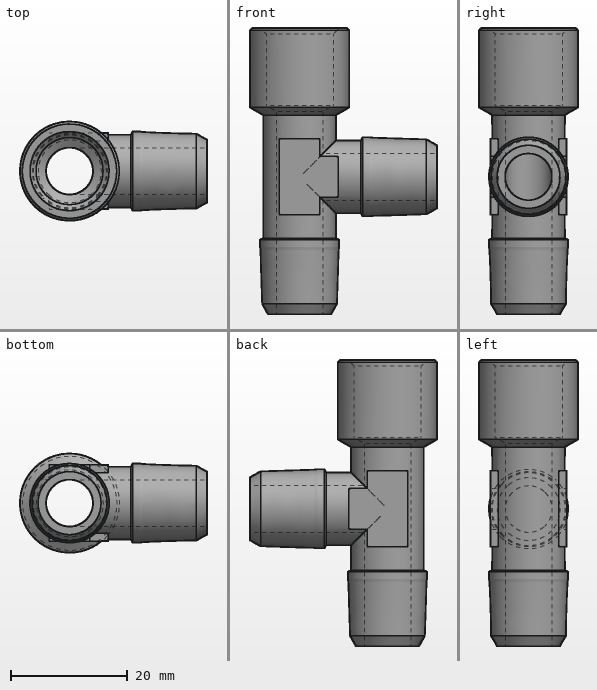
import cadquery as cq
import math

total_height = 49.0
branch_height = 23.5
branch_length = 23.5

head_radius = 17.0 / 2
head_bottom = 35.4
head_edge_chamfer = 0.45
head_cone_angle = math.radians(30)

pipe_radius = 12.5 / 2
bore_radius = 8.0 / 2
socket_radius = 11.45 / 2
socket_mouth_radius = 13.5 / 2
socket_depth = 13.25
socket_floor_angle = math.radians(30)

collar_radius = 13.55 / 2
collar_start = 11.5
collar_end = 12.75
collar_bevel_length = 0.3
taper_start = 1.8
taper_end = 11.02
taper_start_radius = 6.4
taper_end_radius = 6.7
nose_radius = 5.4

pad_half_width = 3.5
pad_half_height = 6.5
pad_reach = 6.6
pad_half_span = 6.5
pad_corner_radius = 0.25


def spigot(length):
    """Pipe along +Z with its tapered nose at the origin."""
    profile = [
        (0, 0),
        (nose_radius, 0),
        (taper_start_radius, taper_start),
        (taper_end_radius, taper_end),
        (collar_radius, collar_start),
        (collar_radius, collar_end),
        (pipe_radius, collar_end + collar_bevel_length),
        (pipe_radius, length),
        (0, length),
    ]
    return cq.Workplane("XZ").polyline(profile).close().revolve(360, (0, 0), (0, 1))


def socket_head():
    cone_height = (head_radius - pipe_radius) * math.tan(head_cone_angle)
    profile = [
        (0, head_bottom - cone_height),
        (pipe_radius, head_bottom - cone_height),
        (head_radius, head_bottom),
        (head_radius, total_height - head_edge_chamfer),
        (head_radius - head_edge_chamfer, total_height),
        (0, total_height),
    ]
    return cq.Workplane("XZ").polyline(profile).close().revolve(360, (0, 0), (0, 1))


def side_pads():
    """T-shaped block through the body; its two faces stand proud as pads."""
    thickness = 2 * pad_half_span
    upright = cq.Workplane().box(2 * pad_half_width, thickness, 2 * pad_half_height)
    tab_length = pad_half_width + pad_reach
    tab_center = (pad_reach - pad_half_width) / 2
    tab = cq.Workplane().center(tab_center, 0).box(tab_length, thickness, 2 * pad_half_width)
    upright = upright.edges("|Y").fillet(pad_corner_radius)
    tab = tab.edges("|Y and >X").fillet(pad_corner_radius)
    return upright.union(tab).translate((0, 0, branch_height))


def run_bore():
    """Through bore opening into the socket, with a conical floor and a flared mouth."""
    socket_floor = total_height - socket_depth
    floor_drop = (socket_radius - bore_radius) * math.tan(socket_floor_angle)
    mouth_depth = socket_mouth_radius - socket_radius
    profile = [
        (0, 0),
        (bore_radius, 0),
        (bore_radius, socket_floor - floor_drop),
        (socket_radius, socket_floor),
        (socket_radius, total_height - mouth_depth),
        (socket_mouth_radius, total_height),
        (0, total_height),
    ]
    return cq.Workplane("XZ").polyline(profile).close().revolve(360, (0, 0), (0, 1))


def branch_bore():
    return cq.Workplane("YZ").center(0, branch_height).circle(bore_radius).extrude(branch_length)


run = spigot(head_bottom)
branch = (
    spigot(branch_length)
    .rotate((0, 0, 0), (0, 1, 0), -90)
    .translate((branch_length, 0, branch_height))
)
body = run.union(branch).union(socket_head()).union(side_pads())
result = body.cut(run_bore()).cut(branch_bore())